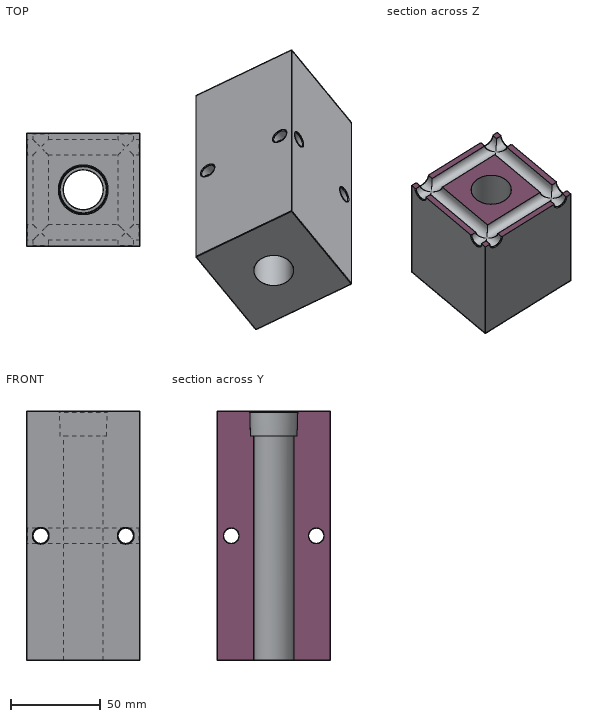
import cadquery as cq

side = 63.5
height = 139.7
edge_chamfer = 0.254

bore_diameter = 22.2
port_depth = 13.9
port_taper = 1 / 16
port_mouth_diameter = 26.67
port_chamfer = 0.65

hole_diameter = 8.5
hole_offset = 23.8125
hole_chamfer = 0.5


def make_block():
    block = cq.Workplane("XY").box(side, side, height)
    return block.edges().chamfer(edge_chamfer)


def make_port_cutter():
    """Bore, tapered port and mouth chamfer as one turned shape about Z."""
    top = height / 2
    bore_radius = bore_diameter / 2
    mouth_radius = port_mouth_diameter / 2
    taper_length = port_depth - port_chamfer
    floor_radius = mouth_radius - taper_length * port_taper / 2
    profile = [
        (0, -top),
        (bore_radius, -top),
        (bore_radius, top - port_depth),
        (floor_radius, top - port_depth),
        (mouth_radius, top - port_chamfer),
        (mouth_radius + port_chamfer, top),
        (0, top),
    ]
    return cq.Workplane("XZ").polyline(profile).close().revolve(360, (0, 0), (0, 1))


def make_hole_cutter():
    """Through hole along Y, chamfered at both ends, centred on the origin."""
    radius = hole_diameter / 2
    end = side / 2
    profile = [
        (0, -end),
        (radius + hole_chamfer, -end),
        (radius, hole_chamfer - end),
        (radius, end - hole_chamfer),
        (radius + hole_chamfer, end),
        (0, end),
    ]
    return cq.Workplane("XY").polyline(profile).close().revolve(360, (0, 0), (0, 1))


result = make_block().cut(make_port_cutter())
hole_along_y = make_hole_cutter()
hole_along_x = hole_along_y.rotate((0, 0, 0), (0, 0, 1), 90)
for offset in (-hole_offset, hole_offset):
    result = result.cut(hole_along_y.translate((offset, 0, 0)))
    result = result.cut(hole_along_x.translate((0, offset, 0)))